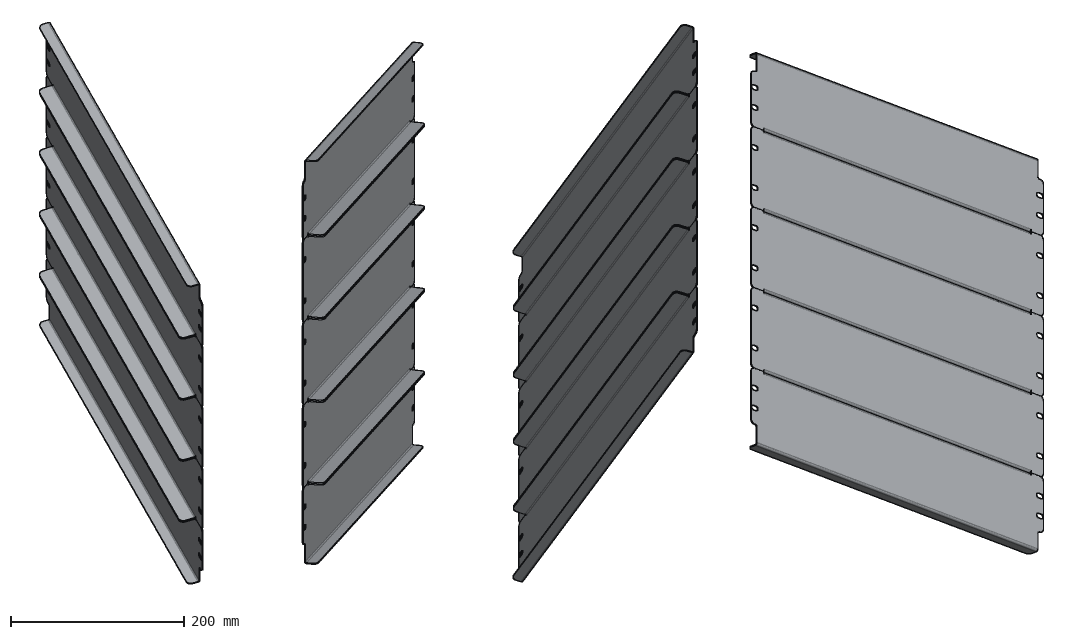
import cadquery as cq
TOTAL_HEIGHT = 490.0
PANEL_WIDTH = 476.5
SHEET = 1.5
BEND_RADIUS = 1.35
BEND_SIZE = SHEET + BEND_RADIUS

MIDDLE_COUNT = 3
END_HEIGHT = 94.5
MIDDLE_HEIGHT = (TOTAL_HEIGHT - 2 * END_HEIGHT) / MIDDLE_COUNT
RIM_Z = TOTAL_HEIGHT / 2
END_SEAM_Z = RIM_Z - END_HEIGHT

SEAM_FLANGE_DEPTH = 20.0
SEAM_FLANGE_WIDTH = 436.0
RIM_FLANGE_DEPTH = 15.0
RIM_FLANGE_WIDTH = 458.0
FLANGE_CORNER_RADIUS = 6.0

PANEL_CORNER_RADIUS = 5.0
NOTCH_HEIGHT = 25.0
NOTCH_RADIUS = 3.0

SLOT_LENGTH = 10.5
SLOT_HEIGHT = 6.0
SLOT_EDGE_GAP = 0.5
SLOT_X = PANEL_WIDTH / 2 - SLOT_EDGE_GAP - SLOT_LENGTH / 2
SLOT_GRID = 25.0
MIDDLE_SLOT_STEPS = (-1, 1)
MIDDLE_PANEL_STEPS = 4
END_SLOT_STEPS = (7, 8)


def flat_sheet(width, z_start, z_end):
    """Upright sheet between two heights, in either order, with its back face on Y = 0."""
    height = abs(z_end - z_start)
    middle = (z_start + z_end) / 2
    return cq.Workplane("XZ", origin=(0, 0, middle)).rect(width, height).extrude(SHEET)


def flange(width, depth, edge, inward):
    """Flange with its bend; its outer face is at Z = edge.

    inward is +1 or -1, the Z direction from the edge towards the rest of the panel."""
    inner_face = edge + inward * SHEET
    bend_end = edge + inward * BEND_SIZE
    profile = (
        cq.Workplane("YZ", origin=(-width / 2, 0, 0))
        .moveTo(-depth, edge)
        .lineTo(-BEND_SIZE, edge)
        .radiusArc((0, bend_end), -inward * BEND_SIZE)
        .lineTo(-SHEET, bend_end)
        .radiusArc((-BEND_SIZE, inner_face), inward * BEND_RADIUS)
        .lineTo(-depth, inner_face)
        .close()
    )
    return profile.extrude(width).edges("|Z and <Y").fillet(FLANGE_CORNER_RADIUS)


def add_flange(panel, width, depth, edge, inward):
    """Replace the strip of sheet along an edge by a bend and its flange."""
    bend_strip = flat_sheet(width, edge, edge + inward * BEND_SIZE)
    return panel.cut(bend_strip).union(flange(width, depth, edge, inward))


def add_seam_flange(panel, edge, inward):
    return add_flange(panel, SEAM_FLANGE_WIDTH, SEAM_FLANGE_DEPTH, edge, inward)


def round_outer_corners(panel):
    """Round the corners of a flat panel that lie on its two side edges."""
    return panel.edges("|Y and (<X or >X)").fillet(PANEL_CORNER_RADIUS)


def cut_rim_notches(panel, rim):
    """Notch both corners at the rim; the cutters reach past the panel so one rounded corner cuts."""
    notch_width = (PANEL_WIDTH - RIM_FLANGE_WIDTH) / 2
    cutters = (
        cq.Workplane("XZ")
        .pushPoints([(side * PANEL_WIDTH / 2, rim) for side in (-1, 1)])
        .rect(2 * notch_width, 2 * NOTCH_HEIGHT)
        .extrude(SHEET)
        .edges("|Y")
        .fillet(NOTCH_RADIUS)
    )
    return panel.cut(cutters)


def cut_slots(panel, heights):
    """Slots through the sheet near both side edges at the given heights."""
    centers = [(side * SLOT_X, z) for side in (-1, 1) for z in heights]
    slots = cq.Workplane("XZ").pushPoints(centers).slot2D(SLOT_LENGTH, SLOT_HEIGHT).extrude(SHEET)
    return panel.cut(slots)


def middle_panel(index):
    """Panel with a deep flange on both edges; index counts panels up from the lowest middle one."""
    bottom = -END_SEAM_Z + index * MIDDLE_HEIGHT
    top = bottom + MIDDLE_HEIGHT
    grid_middle = (index - (MIDDLE_COUNT - 1) / 2) * MIDDLE_PANEL_STEPS
    panel = round_outer_corners(flat_sheet(PANEL_WIDTH, bottom, top))
    panel = cut_slots(panel, [(grid_middle + step) * SLOT_GRID for step in MIDDLE_SLOT_STEPS])
    panel = add_seam_flange(panel, bottom, 1)
    return add_seam_flange(panel, top, -1)


def end_panel(outward):
    """Panel from a seam to the rim; outward is +1 for the top panel and -1 for the bottom one."""
    seam = outward * END_SEAM_Z
    rim = outward * RIM_Z
    panel = cut_rim_notches(flat_sheet(PANEL_WIDTH, seam, rim), rim)
    panel = round_outer_corners(panel)
    panel = cut_slots(panel, [outward * step * SLOT_GRID for step in END_SLOT_STEPS])
    panel = add_seam_flange(panel, seam, outward)
    return add_flange(panel, RIM_FLANGE_WIDTH, RIM_FLANGE_DEPTH, rim, -outward)


middle_panels = [middle_panel(index) for index in range(MIDDLE_COUNT)]
end_panels = [end_panel(outward) for outward in (1, -1)]

result = cq.Compound.makeCompound([panel.solids().val() for panel in middle_panels + end_panels])